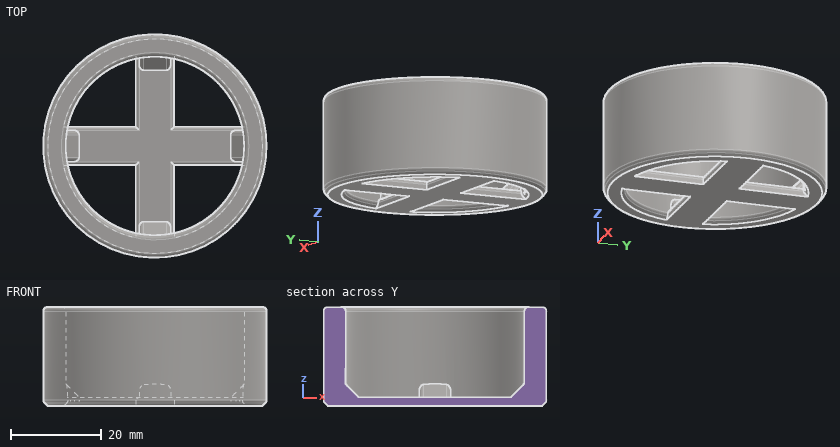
import cadquery as cq
import math

outer_radius = 24.75
inner_radius = 19.75
height = 22.0
top_round = 1.0
bottom_chamfer = 1.0
chamfer_blend = 1.0

spoke_width = 8.5
spoke_thickness = 2.0
spoke_round = 0.75

gusset_width = spoke_width - 2 * spoke_round
gusset_toe_radius = 16.8
gusset_angle = 45.0
gusset_round = 1.0

embed_radius = (inner_radius + outer_radius) / 2


def make_ring():
    """Tube with rounded upper rims and a softened chamfer on both lower rims."""
    blend_setback = chamfer_blend * math.tan(math.radians(45 / 2))
    blend_end_z = bottom_chamfer + blend_setback
    blend_mid_inset = chamfer_blend * (1 - math.cos(math.radians(45 / 2)))
    blend_mid_z = blend_end_z - chamfer_blend * math.sin(math.radians(45 / 2))
    flat_end_inset = blend_setback * math.cos(math.radians(45))
    flat_end_z = bottom_chamfer - flat_end_inset
    round_mid_inset = top_round * (1 - math.cos(math.radians(45)))
    profile = (
        cq.Workplane("XZ")
        .moveTo(inner_radius + bottom_chamfer, 0)
        .lineTo(outer_radius - bottom_chamfer, 0)
        .lineTo(outer_radius - flat_end_inset, flat_end_z)
        .threePointArc((outer_radius - blend_mid_inset, blend_mid_z), (outer_radius, blend_end_z))
        .lineTo(outer_radius, height - top_round)
        .threePointArc(
            (outer_radius - round_mid_inset, height - round_mid_inset),
            (outer_radius - top_round, height),
        )
        .lineTo(inner_radius + top_round, height)
        .threePointArc(
            (inner_radius + round_mid_inset, height - round_mid_inset),
            (inner_radius, height - top_round),
        )
        .lineTo(inner_radius, blend_end_z)
        .threePointArc(
            (inner_radius + blend_mid_inset, blend_mid_z),
            (inner_radius + flat_end_inset, flat_end_z),
        )
        .close()
    )
    return profile.revolve(360, (0, 0, 0), (0, 1, 0))


def make_cross():
    """Two crossing spokes with rounded upper edges, trimmed round at the ends."""
    length = 2 * outer_radius
    centred = (True, True, False)
    cross = cq.Workplane("XY").box(length, spoke_width, spoke_thickness, centered=centred)
    crossing = cq.Workplane("XY").box(spoke_width, length, spoke_thickness, centered=centred)
    cross = cross.union(crossing)
    cross = cross.faces(">Z").edges().fillet(spoke_round)
    return cross.intersect(cq.Workplane("XY").circle(embed_radius).extrude(spoke_thickness))


def make_gusset():
    """Gusset on the +X spoke, sloping up to the wall with rounded slope edges."""
    slope_angle = math.radians(gusset_angle)
    start_radius = gusset_toe_radius - spoke_thickness / math.tan(slope_angle)
    rise = (embed_radius - start_radius) * math.tan(slope_angle)
    profile = [(start_radius, 0), (embed_radius, 0), (embed_radius, rise)]
    gusset = cq.Workplane("XZ").polyline(profile).close().extrude(gusset_width / 2, both=True)
    slope_normal = cq.Vector(-math.sin(slope_angle), 0, math.cos(slope_angle))
    slope_face = gusset.faces(cq.selectors.DirectionMinMaxSelector(slope_normal, True))
    return slope_face.edges("not |Y").fillet(gusset_round)



result = make_ring().union(make_cross())
for spoke_angle in (0, 90, 180, 270):
    result = result.union(make_gusset().rotate((0, 0, 0), (0, 0, 1), spoke_angle))